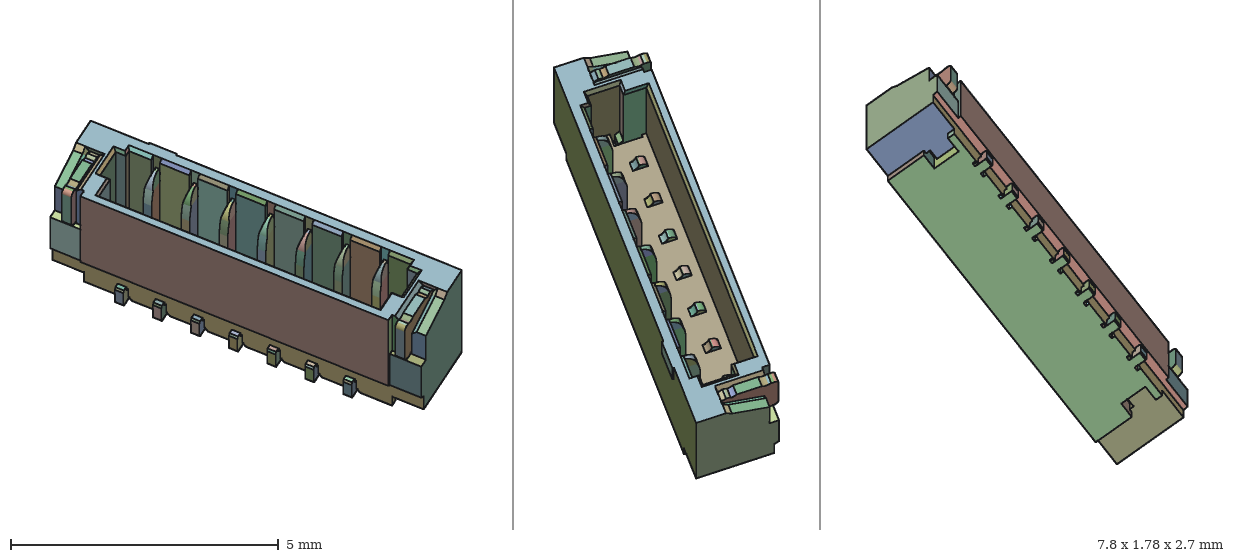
import cadquery as cq

LENGTH = 7.8
HEIGHT = 2.7
HALF_LENGTH = LENGTH / 2

CENTER_HALF = 3.24
CENTER_FRONT = -1.7
BASE_FRONT = -1.55
UNDERCUT_LOW = 0.655
UNDERCUT_HIGH = 0.75
END_BOTTOM = 0.265
END_FRONT = -1.645
UNDERCUT_SLOPE = (UNDERCUT_HIGH - UNDERCUT_LOW) / (BASE_FRONT - CENTER_FRONT)
END_UNDERCUT_HIGH = UNDERCUT_LOW + UNDERCUT_SLOPE * (BASE_FRONT - END_FRONT)
SHELF = 1.64
POCKET_BACK = -0.59

WALL_THICKNESS = 0.3
WALL_CHAMFER = 0.1
WALL_FRONT = -1.46
WALL_FRONT_TOP = 2.35
WALL_SHOULDER_Y = -0.71
WALL_SHOULDER_Z = 2.6
CLIP_WIDTH = 0.2

BUMP_LEFT = -2.68
BUMP_LENGTH = 0.58
BUMP_DEPTH = 0.03
BUMP_BOTTOM = 2.2

CLIP_FRONT = -1.75
CLIP_BOTTOM = 1.7
CLIP_RADIUS = 0.085
CLIP_LIP_Y = -1.64
CLIP_LIP_MIDDLE = (-1.71, 1.75)
CLIP_LIP_TOP = 1.825
FRONT_RAMP_TOP = (-1.6, HEIGHT)
FRONT_SCOOP_START = (-1.545, 2.675)
FRONT_SCOOP_MIDDLE = (-1.475, 2.67)
FRONT_SCOOP_END = (-1.41, HEIGHT)
REAR_SCOOP_START = (-0.91, HEIGHT)
REAR_SCOOP_MIDDLE = (-0.85, 2.65)
REAR_SCOOP_END = (-0.795, 2.64)
REAR_CREST_MIDDLE = (-0.765, 2.66)
REAR_CREST_FRONT = (-0.725, 2.67)
REAR_CREST_BACK = (-0.7, 2.67)
CLIP_REAR_TOP = 2.605

FLOOR = 0.625
BEVEL = 0.08
CAVITY = dict(half=2.96, side_half=3.17, back=-0.265, side_back=-0.4, side_front=-1.04, front=-1.49)
MOUTH = dict(half=2.995, side_half=3.24, back=-0.195, side_back=-0.35, side_front=-1.085, front=-1.55)

DRAIN_INNER = 2.91
DRAIN_BACK = -0.84
DRAIN_FRONT = -1.405
DRAIN_LEDGE = -0.935

PIN_COUNT = 7
PIN_SPAN = 4.8
PIN_PITCH = PIN_SPAN / (PIN_COUNT - 1)
PIN_WIDTH = 0.18
GROOVE_BACK = MOUTH["back"]
BLADE_TOP = 2.355
BLADE_FRONT = -0.59
BLADE_CURVE_END = 1.715
BLADE_SHOULDER = -0.29
BLADE_KNEE = -0.54
BLADE_UPPER_MIDDLE = (-0.445, 2.28)
BLADE_LOWER_MIDDLE = (-0.58, 1.91)
TIP_WIDTH = 0.07
TIP_START = 2.09
HUMP_BACK = -0.99
HUMP_FRONT = -1.295
HUMP_HEIGHT = 0.155
CREST_BACK = -1.115
CREST_FRONT = -1.15
HUMP_BACK_MIDDLE = (-1.06, FLOOR + 0.05)
HUMP_FRONT_MIDDLE = (-1.24, FLOOR + 0.11)
TAIL_FRONT = -1.75
TAIL_BACK = -1.61
TAIL_TOP = 0.45
TAIL_BEVEL = 0.02
TAIL_FOOT_BEVEL = 0.04
TAIL_FRONT_BEVEL = 0.055
TAIL_BACK_BEVEL = 0.03
TAIL_BEND_TOP = 0.335
TAIL_BEND_BOTTOM = 0.305
FLARE = 0.08


def box(x0, x1, y0, y1, z0, z1):
    return cq.Workplane("XY").box(x1 - x0, y1 - y0, z1 - z0, centered=False).translate((x0, y0, z0))


def side_sketch(x):
    """Sketch plane across the part at x, with coordinates (Y, Z)."""
    return cq.Workplane("YZ", origin=(x, 0, 0))


def side_prism(points, x0, x1):
    return side_sketch(x0).polyline(points).close().extrude(x1 - x0)


def front_prism(points, y_front, y_back):
    """Extrude an (X, Z) outline from y_back forward to y_front."""
    plane = cq.Workplane("XZ", origin=(0, y_back, 0))
    return plane.polyline(points).close().extrude(y_back - y_front)


def center_block():
    outline = [
        (0, 0),
        (BASE_FRONT, 0),
        (BASE_FRONT, UNDERCUT_LOW),
        (CENTER_FRONT, UNDERCUT_HIGH),
        (CENTER_FRONT, HEIGHT),
        (0, HEIGHT),
    ]
    return side_prism(outline, -CENTER_HALF, CENTER_HALF)


def end_base():
    """Lower part of the left end, up to the shelf, and the full-height wall behind the clip."""
    outline = [
        (0, END_BOTTOM),
        (BASE_FRONT, END_BOTTOM),
        (BASE_FRONT, UNDERCUT_LOW),
        (END_FRONT, END_UNDERCUT_HIGH),
        (END_FRONT, SHELF),
        (POCKET_BACK, SHELF),
        (POCKET_BACK, HEIGHT),
        (0, HEIGHT),
    ]
    return side_prism(outline, -HALF_LENGTH, -CENTER_HALF)


def outer_wall():
    """Sloping wall outside the clip, bevelled along its inner top edge."""
    outline = [
        (0, SHELF),
        (WALL_FRONT, SHELF),
        (WALL_FRONT, WALL_FRONT_TOP),
        (WALL_SHOULDER_Y, WALL_SHOULDER_Z),
        (POCKET_BACK, HEIGHT),
        (0, HEIGHT),
    ]
    inner_x = -HALF_LENGTH + WALL_THICKNESS
    wall = side_prism(outline, -HALF_LENGTH, inner_x)
    margin = 0.01
    slopes = cq.selectors.BoxSelector(
        (inner_x - margin, WALL_FRONT + margin, WALL_FRONT_TOP),
        (inner_x + margin, POCKET_BACK - margin, HEIGHT),
    )
    return wall.edges(slopes).chamfer(WALL_CHAMFER)


def inner_rib():
    """Rib between the clip and the centre block, bevelled towards the clip."""
    left = -HALF_LENGTH + WALL_THICKNESS + CLIP_WIDTH
    outline = [
        (left, SHELF),
        (left, HEIGHT - WALL_CHAMFER),
        (left + WALL_CHAMFER, HEIGHT),
        (-CENTER_HALF, HEIGHT),
        (-CENTER_HALF, SHELF),
    ]
    return front_prism(outline, BASE_FRONT, POCKET_BACK)


def clip():
    """Metal clip with a rounded front and two shallow scoops along its top."""
    return (
        side_sketch(-HALF_LENGTH + WALL_THICKNESS)
        .moveTo(POCKET_BACK, SHELF)
        .lineTo(WALL_FRONT, SHELF)
        .lineTo(WALL_FRONT, CLIP_BOTTOM)
        .lineTo(CLIP_LIP_Y, CLIP_BOTTOM)
        .threePointArc(CLIP_LIP_MIDDLE, (CLIP_FRONT, CLIP_LIP_TOP))
        .lineTo(CLIP_FRONT, HEIGHT - CLIP_RADIUS)
        .radiusArc((CLIP_FRONT + CLIP_RADIUS, HEIGHT), CLIP_RADIUS)
        .lineTo(*FRONT_RAMP_TOP)
        .lineTo(*FRONT_SCOOP_START)
        .threePointArc(FRONT_SCOOP_MIDDLE, FRONT_SCOOP_END)
        .lineTo(*REAR_SCOOP_START)
        .threePointArc(REAR_SCOOP_MIDDLE, REAR_SCOOP_END)
        .threePointArc(REAR_CREST_MIDDLE, REAR_CREST_FRONT)
        .lineTo(*REAR_CREST_BACK)
        .lineTo(POCKET_BACK, CLIP_REAR_TOP)
        .close()
        .extrude(CLIP_WIDTH)
    )


def cavity_outline(half, side_half, back, side_back, side_front, front):
    """Rectangle with a shallow side bay at each end."""
    left_side = [
        (-half, front),
        (-half, side_front),
        (-side_half, side_front),
        (-side_half, side_back),
        (-half, side_back),
        (-half, back),
    ]
    right_side = [(-x, y) for x, y in reversed(left_side)]
    return left_side + right_side


def cavity():
    shaft_height = HEIGHT - BEVEL - FLOOR
    shaft = (
        cq.Workplane("XY", origin=(0, 0, FLOOR))
        .polyline(cavity_outline(**CAVITY)).close()
        .extrude(shaft_height)
    )
    bevel = (
        cq.Workplane("XY", origin=(0, 0, HEIGHT - BEVEL))
        .polyline(cavity_outline(**CAVITY)).close()
        .workplane(offset=BEVEL)
        .polyline(cavity_outline(**MOUTH)).close()
        .loft(ruled=True)
    )
    return shaft.union(bevel)


def drain():
    """Opening at the left end: a notch in the foot that rises into the cavity."""
    side_bay = CAVITY["side_half"]
    step_y = CAVITY["side_front"]
    ledge_drop = DRAIN_LEDGE - step_y
    notch = box(-CENTER_HALF, -DRAIN_INNER, DRAIN_FRONT, DRAIN_BACK, 0, END_BOTTOM)
    slit = box(-CAVITY["half"], -DRAIN_INNER, DRAIN_FRONT, DRAIN_BACK, 0, FLOOR)
    shaft_outline = [
        (DRAIN_BACK, 0),
        (DRAIN_LEDGE, 0),
        (DRAIN_LEDGE, FLOOR - ledge_drop),
        (step_y, FLOOR),
        (DRAIN_BACK, FLOOR),
    ]
    shaft = side_prism(shaft_outline, -side_bay, -CAVITY["half"])
    return notch.union(slit).union(shaft)


def groove(x):
    """Slot in the back wall of the cavity behind one contact blade."""
    half = PIN_WIDTH / 2
    return box(x - half, x + half, CAVITY["back"], GROOVE_BACK, FLOOR, HEIGHT)


def flare(x):
    """Bevel of the front bottom edge of the base around one contact tail."""
    half_top = PIN_WIDTH / 2
    half_bottom = half_top + FLARE
    slope = [(BASE_FRONT, 0), (BASE_FRONT, FLARE), (BASE_FRONT + FLARE, 0)]
    face = [
        (x - half_bottom, 0),
        (x - half_top, FLARE),
        (x + half_top, FLARE),
        (x + half_bottom, 0),
    ]
    wedge = side_prism(slope, x - half_bottom, x + half_bottom)
    return wedge.intersect(front_prism(face, BASE_FRONT, BASE_FRONT + FLARE))


def blade(x):
    """Upright contact with a curved front edge and a tapered tip."""
    half = PIN_WIDTH / 2
    half_tip = TIP_WIDTH / 2
    plate = (
        side_sketch(x - half)
        .moveTo(GROOVE_BACK, FLOOR)
        .lineTo(GROOVE_BACK, BLADE_TOP)
        .lineTo(BLADE_SHOULDER, BLADE_TOP)
        .threePointArc(BLADE_UPPER_MIDDLE, (BLADE_KNEE, TIP_START))
        .threePointArc(BLADE_LOWER_MIDDLE, (BLADE_FRONT, BLADE_CURVE_END))
        .lineTo(BLADE_FRONT, FLOOR)
        .close()
        .extrude(PIN_WIDTH)
    )
    taper = [
        (x - half, FLOOR),
        (x - half, TIP_START),
        (x - half_tip, BLADE_TOP),
        (x + half_tip, BLADE_TOP),
        (x + half, TIP_START),
        (x + half, FLOOR),
    ]
    return plate.intersect(front_prism(taper, BLADE_FRONT, GROOVE_BACK))


def hump(x):
    """Contact hump on the cavity floor: hollow back, narrow flat crest, rounded front."""
    crest = FLOOR + HUMP_HEIGHT
    return (
        side_sketch(x - PIN_WIDTH / 2)
        .moveTo(HUMP_BACK, FLOOR)
        .threePointArc(HUMP_BACK_MIDDLE, (CREST_BACK, crest))
        .lineTo(CREST_FRONT, crest)
        .threePointArc(HUMP_FRONT_MIDDLE, (HUMP_FRONT, FLOOR))
        .close()
        .extrude(PIN_WIDTH)
    )


def tail(x):
    """Solder tail that turns up in front of the base."""
    outline = [
        (BASE_FRONT + FLARE, 0),
        (TAIL_FRONT + TAIL_BEVEL, 0),
        (TAIL_FRONT, TAIL_FOOT_BEVEL),
        (TAIL_FRONT, TAIL_TOP - TAIL_FRONT_BEVEL),
        (TAIL_FRONT + TAIL_BEVEL, TAIL_TOP),
        (TAIL_BACK - TAIL_BEVEL, TAIL_TOP),
        (TAIL_BACK, TAIL_TOP - TAIL_BACK_BEVEL),
        (TAIL_BACK, TAIL_BEND_TOP),
        (BASE_FRONT, TAIL_BEND_BOTTOM),
        (BASE_FRONT + FLARE, TAIL_BEND_BOTTOM),
    ]
    return side_prism(outline, x - PIN_WIDTH / 2, x + PIN_WIDTH / 2)


pin_positions = [(i - (PIN_COUNT - 1) / 2) * PIN_PITCH for i in range(PIN_COUNT)]

left_end = end_base().union(outer_wall()).union(inner_rib()).union(clip())
housing = center_block().union(left_end).union(left_end.mirror("YZ"))
housing = housing.union(box(BUMP_LEFT, BUMP_LEFT + BUMP_LENGTH, 0, BUMP_DEPTH, BUMP_BOTTOM, HEIGHT))

left_drain = drain()
result = housing.cut(cavity()).cut(left_drain).cut(left_drain.mirror("YZ"))

for pin_x in pin_positions:
    result = result.cut(groove(pin_x)).cut(flare(pin_x))
    result = result.union(blade(pin_x)).union(hump(pin_x)).union(tail(pin_x))